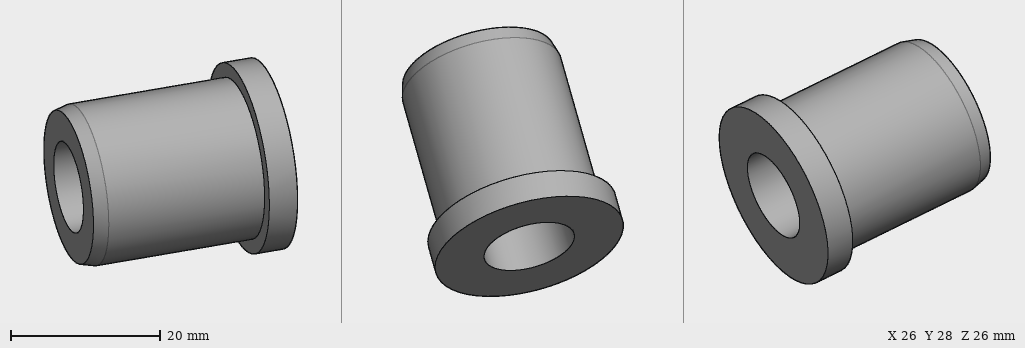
import cadquery as cq
import math

total_length = 28.0
flange_diameter = 26.0
flange_thickness = 4.0
body_diameter = 22.0
bore_diameter = 12.5
taper_length = 2.0
taper_angle = 15.0

flange_radius = flange_diameter / 2
body_radius = body_diameter / 2
bore_radius = bore_diameter / 2
tip_radius = body_radius - taper_length * math.tan(math.radians(taper_angle))
shoulder_y = total_length - flange_thickness

half_section = [
    (bore_radius, 0),
    (tip_radius, 0),
    (body_radius, taper_length),
    (body_radius, shoulder_y),
    (flange_radius, shoulder_y),
    (flange_radius, total_length),
    (bore_radius, total_length),
]

result = (
    cq.Workplane("XY")
    .polyline(half_section)
    .close()
    .revolve(360, (0, 0, 0), (0, 1, 0))
)